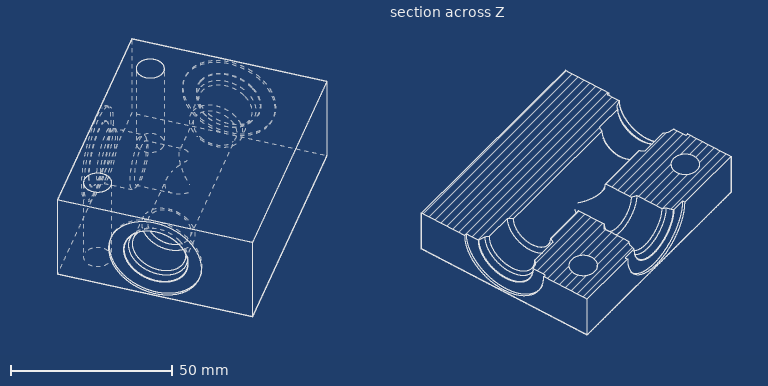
import cadquery as cq
import math

LENGTH_X = 63.5
LENGTH_Y = 76.2
HEIGHT = 31.8

MOUNT_DIAMETER = 8.7
MOUNT_EDGE_X = 9.5
MOUNT_EDGE_Y = 11.1

SPOTFACE_DIAMETER = 30.2
SPOTFACE_DEPTH = 0.85
MOUTH_DIAMETER = 21.0
MOUTH_CHAMFER = 0.15
SEAL_DIAMETER = 19.3
SEAL_DEPTH = 3.2
THREAD_DIAMETER = 17.4
THREAD_START = SEAL_DEPTH + (SEAL_DIAMETER - THREAD_DIAMETER) / 2
THREAD_DEPTH = 13.7
BORE_DIAMETER = 14.2
DRILL_POINT_ANGLE = 118
THREAD_STEP = (THREAD_DIAMETER - BORE_DIAMETER) / 2
BORE_START = THREAD_DEPTH + THREAD_STEP / math.tan(math.radians(DRILL_POINT_ANGLE / 2))
SIDE_PORT_Y = 1.5


def port_cutter(bore_length):
    """Revolved port profile, entering at the origin and running along +Y."""
    return (
        cq.Workplane("XY")
        .lineTo(SPOTFACE_DIAMETER / 2, 0)
        .lineTo(SPOTFACE_DIAMETER / 2, SPOTFACE_DEPTH)
        .lineTo(MOUTH_DIAMETER / 2, SPOTFACE_DEPTH)
        .lineTo(MOUTH_DIAMETER / 2 - MOUTH_CHAMFER, SPOTFACE_DEPTH + MOUTH_CHAMFER)
        .lineTo(SEAL_DIAMETER / 2, SEAL_DEPTH)
        .lineTo(THREAD_DIAMETER / 2, THREAD_START)
        .lineTo(THREAD_DIAMETER / 2, THREAD_DEPTH)
        .lineTo(BORE_DIAMETER / 2, BORE_START)
        .lineTo(BORE_DIAMETER / 2, bore_length)
        .lineTo(0, bore_length)
        .close()
        .revolve(360, (0, 0), (0, 1))
    )


block = cq.Workplane("XY").box(LENGTH_X, LENGTH_Y, HEIGHT)

mount_x = -LENGTH_X / 2 + MOUNT_EDGE_X
mount_y = LENGTH_Y / 2 - MOUNT_EDGE_Y
block = (
    block.faces(">Z").workplane(origin=(0, 0, 0))
    .pushPoints([(mount_x, -mount_y), (mount_x, mount_y)])
    .hole(MOUNT_DIAMETER)
)

main_port = port_cutter(LENGTH_Y / 2).translate((0, -LENGTH_Y / 2, 0))
main_passage = main_port.union(main_port.mirror("XZ")).clean()
block = block.cut(main_passage)

side_port = (
    port_cutter(LENGTH_X / 2)
    .rotate((0, 0, 0), (0, 0, 1), -90)
    .translate((-LENGTH_X / 2, SIDE_PORT_Y, 0))
)
result = block.cut(side_port)